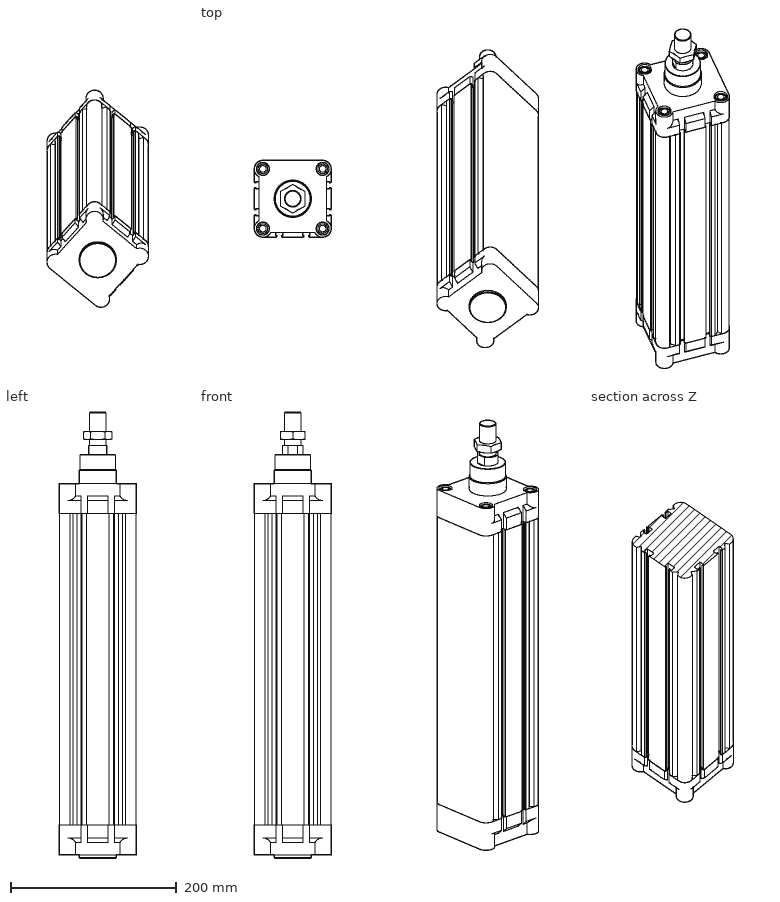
import cadquery as cq
import math

width = 93.0
half_width = width / 2
cap_height = 36.0
barrel_length = 376.0
barrel_top = cap_height + barrel_length
front_face = barrel_top + cap_height

post_radius = 10.5
post_offset = half_width - post_radius

recess_depth = 5.5
recess_height = 15.0
cap_panel_half_width = 12.25
cap_slot_outer = 20.3
recess_reach = half_width - recess_depth

barrel_half_width = 46.2
barrel_corner_radius = barrel_half_width - post_offset

panel_half_width = 13.8
mouth_outer = 18.7
mouth_bevel_outer = 20.3
mouth_bevel_depth = 0.6
lip_thickness = 2.0
slot_inner = 12.0
slot_outer = 22.0
slot_depth = 7.0
vee_start = 25.2
vee_bottom = 30.1
vee_end = 33.3
vee_depth = vee_bottom - vee_start

grooved_side_angles = (-90, 0, 90)

screw_bore_diameter = 15.8
screw_head_diameter = 15.0
screw_bore_depth = 5.0
head_gap_depth = 1.0
screw_head_bevel = 1.75
screw_hole_diameter = 8.0
screw_hole_depth = 10.0

collar_diameter = 45.0
collar_height = 35.0
rear_boss_height = 4.0
collar_neck_diameter = 43.0
collar_chamfer = (collar_diameter - collar_neck_diameter) / 2
collar_neck_chamfer = 0.5
collar_step_height = 17.0

rod_diameter = 25.0
rod_flat_width = 22.0
shoulder_height = 46.0
thread_diameter = 20.0
thread_length = 40.0
thread_tip_diameter = 18.38
nut_across_flats = 30.0
nut_thickness = 10.0
nut_gap = 7.0
nut_bevel_diameter = 29.5
nut_bevel_angle = 15.0


def disc(diameter, start, length):
    return cq.Workplane("XY").workplane(offset=start).circle(diameter / 2).extrude(length)


def turned(shape, angle):
    return shape.rotate((0, 0, 0), (0, 0, 1), angle)


def corner_posts(length):
    spacing = 2 * post_offset
    centres = cq.Workplane("XY").rect(spacing, spacing, forConstruction=True)
    return centres.vertices().circle(post_radius).extrude(length)


def cap_recess():
    """Recess with a sloping ledge and two slots, cut into the -Y side of a cap whose outer face is z = 0."""
    ledge = [
        (-recess_reach, 0),
        (-half_width, 0),
        (-half_width, recess_height + recess_depth),
        (-recess_reach, recess_height),
    ]
    recess = cq.Workplane("YZ").polyline(ledge).close().extrude(half_width, both=True)
    slot_width = cap_slot_outer - cap_panel_half_width
    slot_middle = (cap_slot_outer + cap_panel_half_width) / 2
    for side in (-1, 1):
        slot = cq.Workplane("XY").box(slot_width, recess_depth, cap_height, centered=(True, False, False))
        recess = recess.union(slot.translate((side * slot_middle, -half_width, 0)))
    return recess


def cap():
    """End cap with its outer face at z = 0 and the barrel side at z = cap_height."""
    core = cq.Workplane("XY").rect(width, width).extrude(cap_height)
    for angle in grooved_side_angles:
        core = core.cut(turned(cap_recess(), angle))
    corners = cq.Workplane("XY").rect(width, width, forConstruction=True).vertices()
    core = core.cut(corners.rect(2 * post_radius, 2 * post_radius).extrude(cap_height))
    return core.union(corner_posts(cap_height))


def barrel_grooves():
    """Undercut slot and V-groove on both sides of the middle of the barrel's -Y side."""
    face = -barrel_half_width
    slot = [
        (panel_half_width, face),
        (mouth_bevel_outer, face),
        (mouth_outer, face + mouth_bevel_depth),
        (mouth_outer, face + lip_thickness),
        (slot_outer, face + lip_thickness),
        (slot_outer, face + slot_depth),
        (slot_inner, face + slot_depth),
        (slot_inner, face + lip_thickness),
        (panel_half_width, face + lip_thickness),
    ]
    vee = [(vee_start, face), (vee_end, face), (vee_bottom, face + vee_depth)]
    start = cq.Workplane("XY").workplane(offset=cap_height)
    grooves = start.polyline(slot).close().extrude(barrel_length)
    grooves = grooves.union(start.polyline(vee).close().extrude(barrel_length))
    return grooves.union(grooves.mirror("YZ"))


def barrel():
    side = 2 * barrel_half_width
    body = cq.Workplane("XY").workplane(offset=cap_height).rect(side, side).extrude(barrel_length)
    body = body.edges("|Z").fillet(barrel_corner_radius)
    for angle in grooved_side_angles:
        body = body.cut(turned(barrel_grooves(), angle))
    return body


def screw_recess():
    """Gap around a bevelled tie-rod screw head plus the hole in its middle, below z = 0."""
    bore = disc(screw_bore_diameter, -screw_bore_depth, screw_bore_depth)
    head = disc(screw_head_diameter, -screw_bore_depth, screw_bore_depth - head_gap_depth)
    head = head.faces(">Z").edges().chamfer(screw_head_bevel)
    hole = disc(screw_hole_diameter, -screw_hole_depth, screw_hole_depth)
    return bore.cut(head).union(hole)


def collar():
    """Guide collar with a bevelled step to a narrower neck, standing on the front cap."""
    base = disc(collar_diameter, front_face, collar_step_height)
    base = base.faces(">Z").edges().chamfer(collar_chamfer)
    neck = disc(collar_neck_diameter, front_face, collar_height)
    neck = neck.faces(">Z").edges().chamfer(collar_neck_chamfer)
    return base.union(neck)


def rear_boss():
    boss = disc(collar_diameter, -rear_boss_height, rear_boss_height)
    return boss.faces("<Z").edges().chamfer(collar_chamfer)


def housing_body():
    front_cap = cap().mirror("XY").translate((0, 0, front_face))
    body = cap().union(barrel()).union(front_cap).union(collar()).union(rear_boss())
    for x in (-post_offset, post_offset):
        for y in (-post_offset, post_offset):
            body = body.cut(screw_recess().translate((x, y, front_face)))
    return body.cut(disc(rod_diameter, barrel_top, cap_height + collar_height))


def rod_body():
    """Rod starting at the inner face of the front cap, with two spanner flats and a threaded end."""
    shoulder = front_face + shoulder_height
    rod = disc(rod_diameter, barrel_top, shoulder - barrel_top)
    flat_length = shoulder_height - collar_height
    flats = cq.Workplane("XY").workplane(offset=shoulder - flat_length)
    flat_key = flats.rect(rod_diameter, rod_flat_width).extrude(flat_length)
    full_round = disc(rod_diameter, shoulder - flat_length, flat_length)
    rod = rod.cut(full_round.cut(flat_key))
    thread = disc(thread_diameter, shoulder, thread_length)
    thread = thread.faces(">Z").edges().chamfer((thread_diameter - thread_tip_diameter) / 2)
    return rod.union(thread)


def nut_body():
    """Hexagon nut with corners bevelled at both ends and two flats facing -X and +X."""
    bottom = front_face + shoulder_height + nut_gap
    rim = nut_across_flats / 2 / math.cos(math.radians(30))
    nut = cq.Workplane("XY").polygon(6, 2 * rim).extrude(nut_thickness)
    nut = turned(nut, 30)
    bevel_rise = (rim - nut_bevel_diameter / 2) * math.tan(math.radians(nut_bevel_angle))
    profile = [
        (0, 0),
        (nut_bevel_diameter / 2, 0),
        (rim, bevel_rise),
        (rim, nut_thickness - bevel_rise),
        (nut_bevel_diameter / 2, nut_thickness),
        (0, nut_thickness),
    ]
    envelope = cq.Workplane("XZ").polyline(profile).close().revolve(360, (0, 0), (0, 1))
    nut = nut.intersect(envelope).cut(disc(thread_diameter, 0, nut_thickness))
    return nut.translate((0, 0, bottom))


housing = housing_body()
rod = rod_body()
nut = nut_body()
result = cq.Compound.makeCompound([housing.val(), rod.val(), nut.val()])